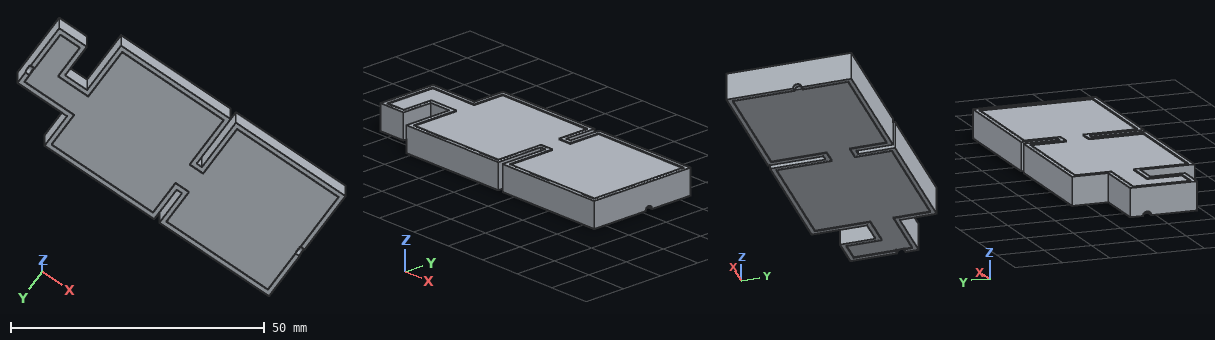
import cadquery as cq

block_length = 26.6
block_width = 25.9
thickness = 6.0
block_gap = 1.25

neck_width = 6.8
neck_setback = 7.65
neck_top = block_width - neck_setback
neck_bottom = neck_top - neck_width

hook_reach = 12.0
hook_arm_width = 6.7
hook_end = 4.1

rim_width = 1.0
recess_depth = 0.2

notch_radius = 0.85
notch_center = 14.7

first_block_start = hook_reach
first_block_end = first_block_start + block_length
second_block_start = first_block_end + block_gap
second_block_end = second_block_start + block_length


def plan_prism(inset, base, height):
    """Prism over the plan outline, with every edge moved inward by inset."""

    def rectangle(x_min, x_max, y_min, y_max):
        length = x_max - x_min - 2 * inset
        width = y_max - y_min - 2 * inset
        block = cq.Workplane("XY").box(length, width, height, centered=False)
        return block.translate((x_min + inset, y_min + inset, base))

    first_block = rectangle(first_block_start, first_block_end, 0, block_width)
    second_block = rectangle(second_block_start, second_block_end, 0, block_width)
    neck = rectangle(0, second_block_end, neck_bottom, neck_top)
    hook_arm = rectangle(0, hook_arm_width, hook_end, neck_top)
    return first_block.union(second_block).union(neck).union(hook_arm).clean()


def rim_notch(x_start):
    """Cutter along X that spans one rim; its upper half notches the lower edge."""
    cutter = cq.Workplane("YZ").center(notch_center, 0).circle(notch_radius).extrude(rim_width)
    return cutter.translate((x_start, 0, 0))


result = plan_prism(0, 0, thickness)

for recess_base in (0, thickness - recess_depth):
    result = result.cut(plan_prism(rim_width, recess_base, recess_depth))

for notch_start in (0, second_block_end - rim_width):
    result = result.cut(rim_notch(notch_start))